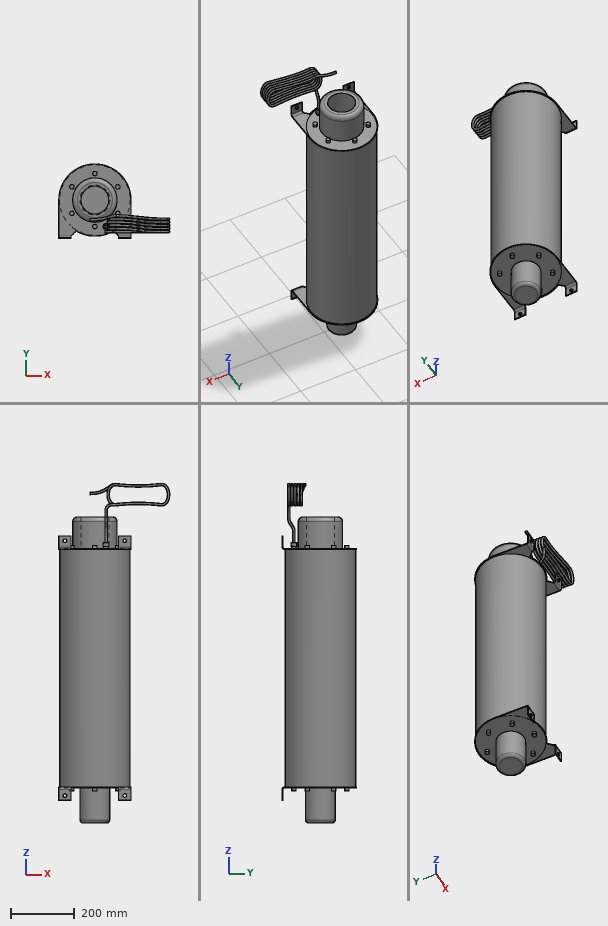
import cadquery as cq
import math

barrel_diameter = 224.0
flange_diameter = 229.0
flange_radius = flange_diameter / 2
plate_thickness = 3.0
lower_plate_z = 112.0
upper_plate_z = 869.0

outlet_diameter = 95.0
outlet_fillet = 11.0
neck_diameter = 141.0
neck_top_z = 969.0
neck_fillet = 15.0
neck_bore_diameter = 88.0

lug_width = 40.0
lug_height = 43.0
lug_overhang = 8.0
lug_front_y = -(flange_radius + lug_overhang)
bend_radius = 9.0
lug_hole_diameter = 11.0
lug_hole_edge = 15.0

bolt_count = 6
bolt_circle_radius = 84.0
bolt_head_diameter = 14.0
bolt_head_height = 10.0

gland_x = 35.0
gland_y = -84.0
gland_collar_diameter = 19.0
gland_collar_height = 13.0
gland_fillet = 3.0
gland_stem_diameter = 15.0
gland_stem_height = 6.0
gland_top_z = upper_plate_z + gland_stem_height + gland_collar_height

cable_diameter = 8.1
riser_bend_z = 921.0
riser_bend_radius = 32.0
riser_bend_angle = 33.0
riser_link = 11.0
coil_entry_radius = 18.0

coil_turns = 5
coil_pitch = 10.0
coil_mid_x = 138.0
coil_straight_half = 71.0
coil_half_length = 96.0
coil_bottom_z = 1008.0
coil_top_z = 1071.0
cubic_bulge = 3 / 4
coil_bow_slope = 0.12

tail_end = (-15.0, -62.0, 1043.0)
tail_start_handle = 22.0
tail_end_handle = 54.0


def end_plate():
    """Round plate with two bent lugs; inner face at z = 0, lugs turned towards +Z."""
    bend_y = lug_front_y + bend_radius
    disc = cq.Workplane("XY").circle(flange_radius).extrude(plate_thickness)
    inner_x = flange_radius - lug_width
    ear_outline = [
        (flange_radius, 0),
        (flange_radius, bend_y),
        (inner_x, bend_y),
        (0, bend_y + inner_x),
    ]
    ear = cq.Workplane("XY").polyline(ear_outline).close().extrude(plate_thickness)
    inner_bend_radius = bend_radius - plate_thickness
    lug = (
        cq.Workplane("YZ", origin=(inner_x, 0, 0))
        .moveTo(bend_y, 0)
        .radiusArc((lug_front_y, bend_radius), bend_radius)
        .lineTo(lug_front_y, lug_height)
        .lineTo(lug_front_y + plate_thickness, lug_height)
        .lineTo(lug_front_y + plate_thickness, bend_radius)
        .radiusArc((bend_y, plate_thickness), -inner_bend_radius)
        .close()
        .extrude(lug_width)
    )
    hole = (
        cq.Workplane("XZ", origin=(inner_x + lug_width / 2, 0, lug_height - lug_hole_edge))
        .circle(lug_hole_diameter / 2)
        .extrude(flange_diameter)
    )
    bracket = ear.union(lug.cut(hole))
    return disc.union(bracket).union(bracket.mirror("YZ"))


def bolt_heads():
    """Ring of bolt heads standing on z = 0."""
    return (
        cq.Workplane("XY")
        .polarArray(bolt_circle_radius, 90, 360, bolt_count)
        .circle(bolt_head_diameter / 2)
        .extrude(bolt_head_height)
    )


def cover():
    """End plate with its bolt heads; inner face at z = 0."""
    return end_plate().union(bolt_heads().translate((0, 0, plate_thickness)))


def neck():
    bore_depth = neck_top_z - upper_plate_z
    return (
        cq.Workplane("XY", origin=(0, 0, upper_plate_z))
        .circle(neck_diameter / 2)
        .extrude(bore_depth)
        .faces(">Z").edges().fillet(neck_fillet)
        .cut(
            cq.Workplane("XY", origin=(0, 0, upper_plate_z))
            .circle(neck_bore_diameter / 2)
            .extrude(bore_depth)
        )
    )


def outlet():
    return (
        cq.Workplane("XY")
        .circle(outlet_diameter / 2)
        .extrude(lower_plate_z)
        .faces("<Z").edges().fillet(outlet_fillet)
    )


def cable_gland():
    return (
        cq.Workplane("XY", origin=(gland_x, gland_y, upper_plate_z))
        .circle(gland_stem_diameter / 2)
        .extrude(gland_stem_height)
        .faces(">Z").workplane()
        .circle(gland_collar_diameter / 2)
        .extrude(gland_collar_height)
        .faces(">Z").edges().fillet(gland_fillet)
    )


def make_housing():
    barrel_bottom_z = lower_plate_z + plate_thickness
    barrel_top_z = upper_plate_z - plate_thickness
    barrel = (
        cq.Workplane("XY", origin=(0, 0, barrel_bottom_z))
        .circle(barrel_diameter / 2)
        .extrude(barrel_top_z - barrel_bottom_z)
    )
    upper_cover = cover().translate((0, 0, barrel_top_z))
    lower_cover = cover().mirror("XY").translate((0, 0, barrel_bottom_z))
    body = barrel
    for part in (upper_cover, lower_cover, neck(), outlet(), cable_gland()):
        body = body.union(part)
    return body.solids()


def riser_edges():
    """Cable from the gland to the coil: up, sideways towards -Y, up again, then round to +X."""
    angle = math.radians(riser_bend_angle)
    half = angle / 2
    out = riser_bend_radius * (1 - math.cos(angle))
    rise = riser_bend_radius * math.sin(angle)
    half_out = riser_bend_radius * (1 - math.cos(half))
    half_rise = riser_bend_radius * math.sin(half)

    def at(y, z):
        return cq.Vector(gland_x, y, z)

    start = at(gland_y, gland_top_z)
    bend_1 = at(gland_y, riser_bend_z)
    bend_1_mid = at(gland_y - half_out, riser_bend_z + half_rise)
    bend_1_end = at(gland_y - out, riser_bend_z + rise)
    bend_2 = bend_1_end + cq.Vector(0, -riser_link * math.sin(angle), riser_link * math.cos(angle))
    bend_2_end = bend_2 + cq.Vector(0, -out, rise)
    bend_2_mid = bend_2_end + cq.Vector(0, half_out, -half_rise)
    entry = at(bend_2_end.y, coil_bottom_z - coil_entry_radius)
    entry_end = entry + cq.Vector(coil_entry_radius, 0, coil_entry_radius)
    diagonal = coil_entry_radius * math.sqrt(0.5)
    entry_mid = entry + cq.Vector(coil_entry_radius - diagonal, 0, diagonal)
    return [
        cq.Edge.makeLine(start, bend_1),
        cq.Edge.makeThreePointArc(bend_1, bend_1_mid, bend_1_end),
        cq.Edge.makeLine(bend_1_end, bend_2),
        cq.Edge.makeThreePointArc(bend_2, bend_2_mid, bend_2_end),
        cq.Edge.makeLine(bend_2_end, entry),
        cq.Edge.makeThreePointArc(entry, entry_mid, entry_end),
    ]


def coil_edges(start):
    """All turns of the coil and the free tail, as cubic curves that share their end directions."""
    left_x = coil_mid_x - coil_straight_half
    right_x = coil_mid_x + coil_straight_half
    end_handle = (coil_half_length - coil_straight_half) / cubic_bulge
    bottom_right = cq.Vector(1, 0, -coil_bow_slope).normalized()
    top_right = cq.Vector(-1, 0, -coil_bow_slope).normalized()
    top_left = cq.Vector(-1, 0, coil_bow_slope).normalized()
    bottom_left = cq.Vector(1, 0, coil_bow_slope).normalized()

    edges = []
    point = start
    direction = cq.Vector(1, 0, 0)

    def curve_to(target, target_direction, leave_handle=None, arrive_handle=None):
        nonlocal point, direction
        end = cq.Vector(target)
        leave = leave_handle or (end - point).Length / 3
        arrive = arrive_handle or leave
        controls = [point, point + direction * leave, end - target_direction * arrive, end]
        edges.append(cq.Edge.makeBezier(controls))
        point = end
        direction = target_direction

    curve_to((left_x, start.y, coil_bottom_z), bottom_left)
    for turn in range(coil_turns):
        y = start.y + turn * coil_pitch
        next_y = y + coil_pitch
        curve_to((right_x, y, coil_bottom_z), bottom_right)
        curve_to((right_x, y, coil_top_z), top_right, end_handle)
        curve_to((left_x, next_y, coil_top_z), top_left)
        if turn < coil_turns - 1:
            curve_to((left_x, next_y, coil_bottom_z), bottom_left, end_handle)
    curve_to(tail_end, cq.Vector(-1, 0, 0), tail_start_handle, tail_end_handle)
    return edges


def make_cable():
    riser = riser_edges()
    path = cq.Wire.assembleEdges(riser + coil_edges(riser[-1].endPoint()))
    return (
        cq.Workplane("XY", origin=(gland_x, gland_y, gland_top_z))
        .circle(cable_diameter / 2)
        .sweep(cq.Workplane(path))
    )


housing = make_housing()
cable = make_cable()

result = cq.Compound.makeCompound([housing.val(), cable.val()])